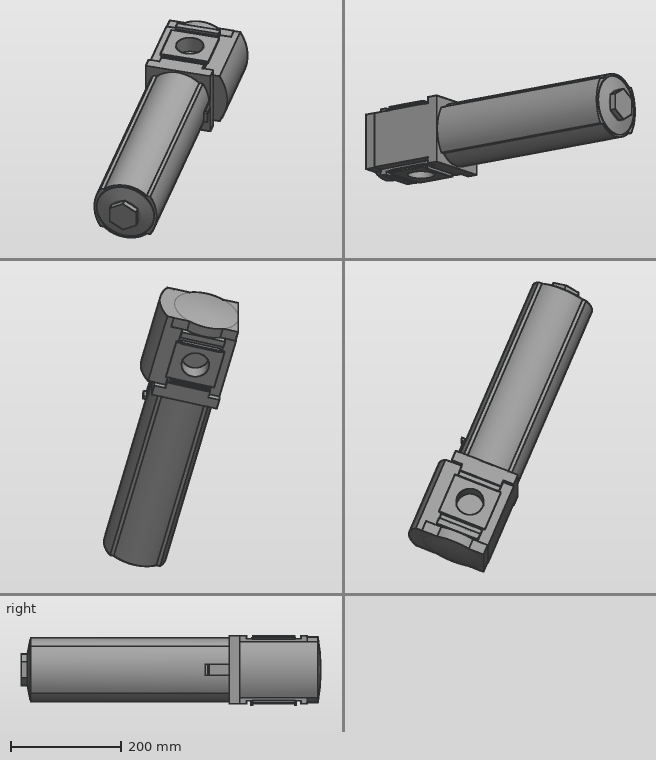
import cadquery as cq
import math


head_half_width = 61.0
head_half_height = 62.0
head_length = 141.0
side_half_height = 50.5
flange_thickness = 19.5

ridge_half_width = 40.0
ridge_floor = 56.5
ridge_groove_start = 31.5
ridge_groove_end = 130.0

port_y = 80.5
plate_half_width = 45.0
plate_length = 76.0
plate_straight_height = 3.0
plate_undercut_height = 4.0
plate_foot_overhang = 1.5
plate_foot_height = 58.0
port_diameter = 50.0
port_depth = 31.0

lip_half_width = 36.0
lip_thickness = 3.0
lip_bottom = 64.0

cover_radius = 60.0
cover_half_height = 51.0
cover_end = 160.5
dome_height = 5.5

gauge_straight_end = 73.0
gauge_tip = 87.0

tube_radius = 58.0
rib_outer_x = 58.5
tube_length = 359.5
rib_half_height = 42.5
rib_corner_x = 46.5

cap_diameter = 108.0
cap_rim_end = 360.5
cap_end = 365.5
hex_diameter = 57.5
hex_end = 377.0

latch_length = 43.0
latch_half_height = 10.0
latch_inner_x = 60.0
hook_tip_x = 66.0
hook_flat_length = 4.5


def box(x_min, x_max, y_min, y_max, z_min, z_max):
    """Axis-aligned block between the given limits."""
    size = (x_max - x_min, y_max - y_min, z_max - z_min)
    return cq.Workplane("XY").box(*size, centered=False).translate((x_min, y_min, z_min))


def extrude_along_y(profile, y_start, y_end):
    """Extrude a profile drawn on the XZ plane at Y = y_start as far as Y = y_end."""
    return profile.extrude(y_start - y_end)


def section_at(y):
    """XZ workplane at the given Y."""
    return cq.Workplane("XZ", origin=(0, y, 0))


def head_core():
    """Central block with a taller front flange."""
    core = box(-head_half_width, head_half_width, 0, head_length, -side_half_height, side_half_height)
    flange = box(-head_half_width, head_half_width, 0, flange_thickness, -head_half_height, head_half_height)
    return core.union(flange)


def port_side():
    """Upper grooved ridge with its undercut port plate."""
    ridge = box(-ridge_half_width, ridge_half_width, 0, head_length, 0, head_half_height)
    groove = box(
        -ridge_half_width,
        ridge_half_width,
        ridge_groove_start,
        ridge_groove_end,
        ridge_floor,
        head_half_height,
    )
    undercut_top = head_half_height - plate_straight_height
    undercut_bottom = undercut_top - plate_undercut_height
    plate_front = port_y - plate_length / 2
    plate_rear = port_y + plate_length / 2
    plate = extrude_along_y(
        section_at(plate_front).polyline([
            (-plate_half_width, head_half_height),
            (plate_half_width, head_half_height),
            (plate_half_width, undercut_top),
            (ridge_half_width, undercut_bottom),
            (-ridge_half_width, undercut_bottom),
            (-plate_half_width, undercut_top),
        ]).close(),
        plate_front,
        plate_rear,
    )
    foot = box(
        -ridge_half_width,
        ridge_half_width,
        plate_front - plate_foot_overhang,
        plate_rear + plate_foot_overhang,
        0,
        plate_foot_height,
    )
    return ridge.cut(groove).union(foot).union(plate)


def port_hole():
    """Blind port in the upper plate."""
    floor = head_half_height - port_depth
    return cq.Workplane("XY", origin=(0, port_y, floor)).circle(port_diameter / 2).extrude(port_depth)


def plate_lips():
    """Two lips standing below the ends of the lower plate."""
    front = port_y - plate_length / 2 - lip_thickness
    rear = port_y + plate_length / 2
    lip = box(-lip_half_width, lip_half_width, 0, lip_thickness, -lip_bottom, -side_half_height)
    return lip.translate((0, front, 0)).union(lip.translate((0, rear, 0)))


def rear_cover():
    """Block with round top and bottom, closed by a shallow dome."""
    block = box(-cover_radius, head_half_width, head_length, cover_end, -cover_half_height, cover_half_height)
    drum = extrude_along_y(section_at(head_length).circle(cover_radius), head_length, cover_end)
    dome_sphere_radius = (cover_radius**2 + dome_height**2) / (2 * dome_height)
    mid_radius = cover_radius / 2
    mid_drop = dome_sphere_radius - math.sqrt(dome_sphere_radius**2 - mid_radius**2)
    dome_end = cover_end + dome_height
    dome = (
        cq.Workplane("XY")
        .moveTo(0, cover_end)
        .lineTo(cover_radius, cover_end)
        .threePointArc((mid_radius, dome_end - mid_drop), (0, dome_end))
        .close()
        .revolve(360, (0, 0, 0), (0, 1, 0))
    )
    return block.union(drum).union(dome)


def gauge_housing():
    """Housing on the +X side with a rounded outer face, reaching past the head beside the cover."""
    profile = (
        section_at(flange_thickness)
        .moveTo(head_half_width, side_half_height)
        .lineTo(gauge_straight_end, side_half_height)
        .threePointArc((gauge_tip, 0), (gauge_straight_end, -side_half_height))
        .lineTo(head_half_width, -side_half_height)
        .close()
    )
    return extrude_along_y(profile, flange_thickness, cover_end)


def tube():
    """Round tube reaching forward from the head."""
    return extrude_along_y(section_at(-tube_length).circle(tube_radius), -tube_length, 0)


def side_ribs():
    """Flatter, stepped ribs along both sides of the tube."""
    profile = (
        section_at(-tube_length)
        .moveTo(-rib_corner_x, rib_half_height)
        .lineTo(rib_corner_x, rib_half_height)
        .threePointArc((rib_outer_x, 0), (rib_corner_x, -rib_half_height))
        .lineTo(-rib_corner_x, -rib_half_height)
        .threePointArc((-rib_outer_x, 0), (-rib_corner_x, rib_half_height))
        .close()
    )
    return extrude_along_y(profile, -tube_length, 0)


def end_cap():
    """Conical cap with a hexagonal drain fitting, corners along Z."""
    cap_radius = cap_diameter / 2
    cap = (
        cq.Workplane("XY")
        .polyline([
            (0, -tube_length),
            (cap_radius, -tube_length),
            (cap_radius, -cap_rim_end),
            (hex_diameter / 2, -cap_end),
            (0, -cap_end),
        ])
        .close()
        .revolve(360, (0, 0, 0), (0, 1, 0))
    )
    hexagon = section_at(-tube_length).transformed(rotate=(0, 0, 90)).polygon(6, hex_diameter)
    return cap.union(extrude_along_y(hexagon, -tube_length, -hex_end))


def latch():
    """Latch tongue on the +X side, ending in a small outward hook."""
    hook_rise = hook_tip_x - head_half_width
    profile = cq.Workplane("XY", origin=(0, 0, -latch_half_height)).polyline([
        (latch_inner_x, 0),
        (head_half_width, 0),
        (head_half_width, hook_flat_length + hook_rise / 2 - latch_length),
        (hook_tip_x, hook_flat_length - latch_length),
        (hook_tip_x, -latch_length),
        (latch_inner_x, -latch_length),
    ]).close()
    return profile.extrude(2 * latch_half_height)


result = head_core()
upper_port_side = port_side()
solid_parts = (
    rear_cover(),
    gauge_housing(),
    upper_port_side,
    upper_port_side.mirror("XY"),
    plate_lips(),
    tube(),
    side_ribs(),
    end_cap(),
    latch(),
)
for solid_part in solid_parts:
    result = result.union(solid_part)

upper_port = port_hole()
for port in (upper_port, upper_port.mirror("XY")):
    result = result.cut(port)